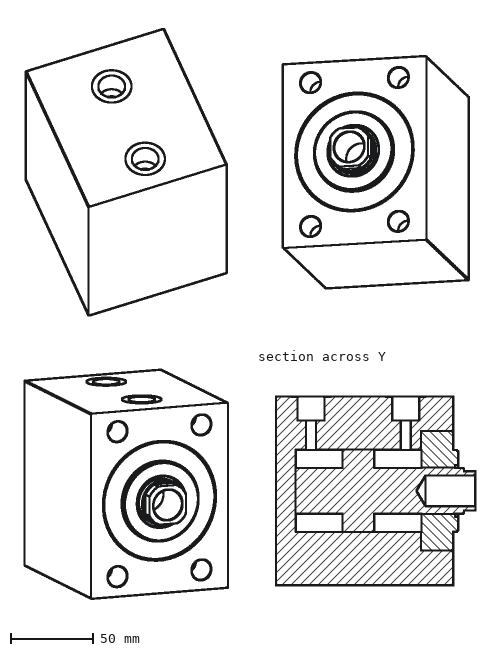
import cadquery as cq
import math


TOTAL_LENGTH = 121.5
ROD_PROJECTION = 13.6
BLOCK_LENGTH = TOTAL_LENGTH - ROD_PROJECTION
BLOCK_WIDTH = 90.0
BLOCK_HEIGHT = 115.0
EDGE_CHAMFER = 0.5

MOUNT_DIAMETER = 12.4
MOUNT_DEPTH = 24.3
MOUNT_SPACING_Y = 55.0
MOUNT_SPACING_Z = 90.0

DRILL_POINT_ANGLE = 118.0
HOLE_CHAMFER = 0.4

PORT_FIRST_X = 28.9
PORT_SPACING = 57.6
PORT_DIAMETER = 16.3
PORT_DEPTH = 14.6
PORT_SEAT_DIAMETER = 24.0
PORT_SEAT_DEPTH = 0.1
PORT_CHANNEL_DIAMETER = 6.0

GLAND_DIAMETER = 72.4
GLAND_DEPTH = 19.5
GLAND_SEAT_CHAMFER = 1.0
BOSS_DIAMETER = 49.8
BOSS_HEIGHT = 3.2
BOSS_CHAMFER = 1.0
WIPER_DIAMETER = 31.5
WIPER_DEPTH = 2.0
WIPER_CHAMFER = 0.5

ROD_DIAMETER = 28.0
ROD_CHAMFER = 0.6
NOSE_DIAMETER = 26.9
NOSE_LENGTH = 6.9
NOSE_ACROSS_FLATS = 23.9
ROD_HOLE_DIAMETER = 18.7
ROD_HOLE_DEPTH = 30.4

BORE_DIAMETER = BOSS_DIAMETER
PISTON_LENGTH = 19.5
END_WALL = 12.2
BORE_END = BLOCK_LENGTH - END_WALL
PORT_XS = [PORT_FIRST_X, PORT_FIRST_X + PORT_SPACING]
PISTON_CENTER_X = sum(PORT_XS) / len(PORT_XS)


def cylinder_x(diameter, x_start, x_end):
    """Solid cylinder on the X axis between two stations."""
    return cq.Workplane("YZ", origin=(x_start, 0, 0)).circle(diameter / 2).extrude(x_end - x_start)


def turned(points):
    """Solid of revolution about X from (x, radius) points; the end points close along the axis."""
    return cq.Workplane("XZ").polyline(points).close().revolve(360, (0, 0, 0), (1, 0, 0))


def countersink(mouth_x, diameter, depth):
    """45 degree entry cone that opens a bore of the given diameter toward -X."""
    radius = diameter / 2
    end_x = mouth_x + depth
    return turned([(mouth_x, 0), (mouth_x, radius + depth), (end_x, radius), (end_x, 0)])


def drilled_hole(diameter, x_start, depth):
    """Blind hole along +X with a chamfered mouth and a conical drill point past its full-diameter depth."""
    radius = diameter / 2
    point_length = radius / math.tan(math.radians(DRILL_POINT_ANGLE / 2))
    x_end = x_start + depth
    hole = turned([(x_start, 0), (x_start, radius), (x_end, radius), (x_end + point_length, 0)])
    return hole.union(countersink(x_start, diameter, HOLE_CHAMFER))


def port_cutter(x):
    """Shallow seal seat, port bore and narrow channel down into the bore."""
    top = cq.Workplane("XY", origin=(x, 0, BLOCK_HEIGHT / 2))
    seat = top.circle(PORT_SEAT_DIAMETER / 2).extrude(-PORT_SEAT_DEPTH)
    port = top.circle(PORT_DIAMETER / 2).extrude(-PORT_DEPTH)
    channel = top.circle(PORT_CHANNEL_DIAMETER / 2).extrude(-BLOCK_HEIGHT / 2)
    return seat.union(port).union(channel)


def make_housing():
    block = cq.Workplane("XY").box(BLOCK_LENGTH, BLOCK_WIDTH, BLOCK_HEIGHT, centered=(False, True, True))
    housing = block.edges("|X").chamfer(EDGE_CHAMFER)

    housing = housing.cut(cylinder_x(GLAND_DIAMETER, 0, GLAND_DEPTH))
    housing = housing.cut(countersink(0, GLAND_DIAMETER, GLAND_SEAT_CHAMFER))
    housing = housing.cut(cylinder_x(BORE_DIAMETER, GLAND_DEPTH, BORE_END))

    mount_hole = drilled_hole(MOUNT_DIAMETER, 0, MOUNT_DEPTH)
    for side_y in (-1, 1):
        for side_z in (-1, 1):
            offset = (0, side_y * MOUNT_SPACING_Y / 2, side_z * MOUNT_SPACING_Z / 2)
            housing = housing.cut(mount_hole.translate(offset))

    for port_x in PORT_XS:
        housing = housing.cut(port_cutter(port_x))
    return housing


def make_gland():
    boss = cylinder_x(BOSS_DIAMETER, -BOSS_HEIGHT, 0).faces("<X").edges().chamfer(BOSS_CHAMFER)
    gland = cylinder_x(GLAND_DIAMETER, 0, GLAND_DEPTH).union(boss)

    gland = gland.cut(cylinder_x(ROD_DIAMETER, -BOSS_HEIGHT, GLAND_DEPTH))
    gland = gland.cut(cylinder_x(WIPER_DIAMETER, -BOSS_HEIGHT, WIPER_DEPTH - BOSS_HEIGHT))
    return gland.cut(countersink(-BOSS_HEIGHT, WIPER_DIAMETER, WIPER_CHAMFER))


def make_piston_rod():
    tip_x = -ROD_PROJECTION
    shoulder_x = tip_x + NOSE_LENGTH
    rod = cylinder_x(ROD_DIAMETER, shoulder_x, BORE_END).faces("<X").edges().chamfer(ROD_CHAMFER)

    flats = cq.Workplane("YZ", origin=(tip_x, 0, 0)).rect(NOSE_ACROSS_FLATS, NOSE_ACROSS_FLATS)
    nose = cylinder_x(NOSE_DIAMETER, tip_x, shoulder_x).intersect(flats.extrude(NOSE_LENGTH))

    piston_start = PISTON_CENTER_X - PISTON_LENGTH / 2
    piston = cylinder_x(BORE_DIAMETER, piston_start, piston_start + PISTON_LENGTH)
    rod_hole = drilled_hole(ROD_HOLE_DIAMETER, tip_x, ROD_HOLE_DEPTH)
    return rod.union(nose).union(piston).cut(rod_hole)


housing = make_housing()
gland = make_gland()
piston_rod = make_piston_rod()

result = cq.Compound.makeCompound([housing.val(), gland.val(), piston_rod.val()])